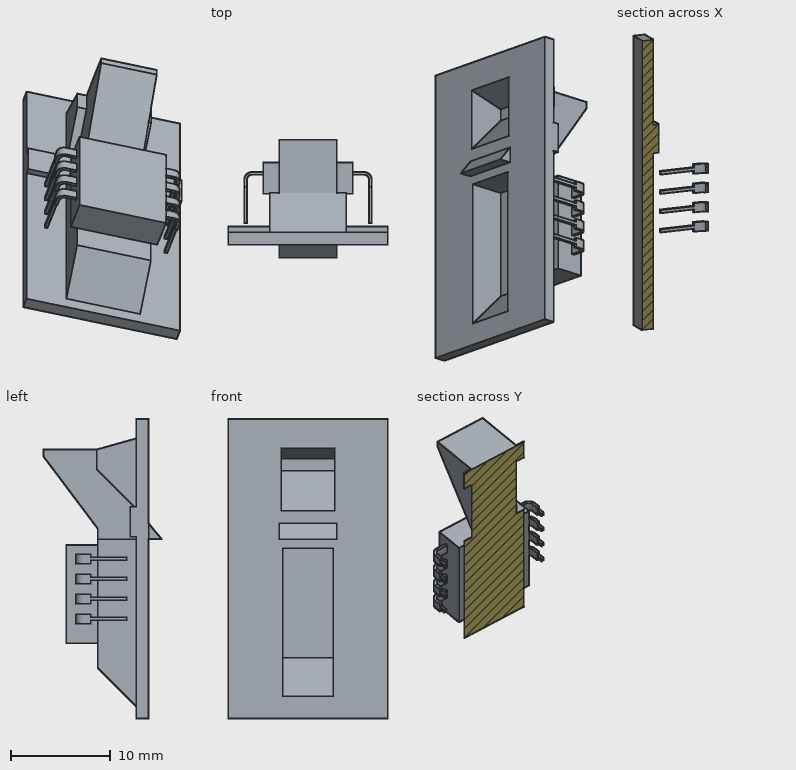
import cadquery as cq

PLATE_WIDTH = 16.0
PLATE_HEIGHT = 30.0
PLATE_THICKNESS = 1.23

BAND_BOTTOM = 18.18
BAND_TOP = 21.18
BAND_BACK = 1.83

BOX_WIDTH = 7.68

UPPER_RECESS_WIDTH = 5.4
UPPER_RECESS_DEPTH = 4.0
UPPER_RECESS_BOTTOM = 20.82
UPPER_RECESS_TOP = 27.05
ROOF_DROP = 1.05

UPPER_BOX_BACK = 5.2
UPPER_BOX_TOP = 26.95
UPPER_BOX_ROOF_AT_PLATE = 28.05
UPPER_BOX_FLOOR_AT_BACK = 24.95

LOWER_RECESS_WIDTH = 5.07
LOWER_RECESS_DEPTH = 3.85
LOWER_RECESS_BOTTOM = 2.25
LOWER_RECESS_TOP = 17.05

LOWER_BOX_BACK = 5.1
LOWER_BOX_TOP = 17.97
LOWER_BOX_BOTTOM_AT_PLATE = 1.2

SPINE_WIDTH = 5.8
ARM_BACK = 10.53
ARM_TIP_BOTTOM = 26.25
ARM_ROOT_TOP = 19.02
WEDGE_REACH = 1.32
WEDGE_HEIGHT = 1.6

CHIP_WIDTH = 9.0
CHIP_BOTTOM = 7.53
CHIP_HEIGHT = 9.87
CHIP_BACK = 8.25

LEAD_COUNT = 4
LEAD_ROW_LENGTH = 6.0
LEAD_PITCH = LEAD_ROW_LENGTH / (LEAD_COUNT - 1)
LOWEST_LEAD_Z = 10.0
LEAD_SPAN = 12.78
LEAD_THICKNESS = 0.3
LEAD_BACK = 7.3
LEAD_BEND_RADIUS = 0.78
LEAD_SHOULDER_HEIGHT = 0.95
LEAD_SHOULDER_FRONT = 5.8
LEAD_TIP_HEIGHT = 0.33
LEAD_TIP_FRONT = 2.15


def box_between(x_range, y_range, z_range):
    """Block filling the given ranges of x, y and z."""
    ranges = (x_range, y_range, z_range)
    sizes = [end - start for start, end in ranges]
    corner = tuple(start for start, end in ranges)
    return cq.Workplane("XY").box(*sizes, centered=False).translate(corner)


def centred_prism(side_points, width):
    """Side outline in (y, z), extruded along x and centred on x = 0."""
    return cq.Workplane("YZ").polyline(side_points).close().extrude(width / 2, both=True)


def centred_block(width, y_range, z_range):
    """Block centred on x = 0 that fills the given ranges of y and z."""
    return box_between((-width / 2, width / 2), y_range, z_range)


def make_upper_box():
    floor_rise = UPPER_BOX_BACK - PLATE_THICKNESS
    outline = [
        (PLATE_THICKNESS, UPPER_BOX_FLOOR_AT_BACK - floor_rise),
        (PLATE_THICKNESS, UPPER_BOX_ROOF_AT_PLATE),
        (UPPER_BOX_BACK, UPPER_BOX_TOP),
        (UPPER_BOX_BACK, UPPER_BOX_FLOOR_AT_BACK),
    ]
    return centred_prism(outline, BOX_WIDTH)


def make_upper_recess():
    outline = [
        (0, UPPER_RECESS_BOTTOM),
        (0, UPPER_RECESS_TOP),
        (UPPER_RECESS_DEPTH, UPPER_RECESS_TOP - ROOF_DROP),
        (UPPER_RECESS_DEPTH, UPPER_RECESS_BOTTOM + UPPER_RECESS_DEPTH),
    ]
    return centred_prism(outline, UPPER_RECESS_WIDTH)


def make_lower_box():
    floor_rise = LOWER_BOX_BACK - PLATE_THICKNESS
    outline = [
        (PLATE_THICKNESS, LOWER_BOX_BOTTOM_AT_PLATE),
        (PLATE_THICKNESS, LOWER_BOX_TOP),
        (LOWER_BOX_BACK, LOWER_BOX_TOP),
        (LOWER_BOX_BACK, LOWER_BOX_BOTTOM_AT_PLATE + floor_rise),
    ]
    return centred_prism(outline, BOX_WIDTH)


def make_lower_recess():
    outline = [
        (0, LOWER_RECESS_BOTTOM),
        (0, LOWER_RECESS_TOP),
        (LOWER_RECESS_DEPTH, LOWER_RECESS_TOP),
        (LOWER_RECESS_DEPTH, LOWER_RECESS_BOTTOM + LOWER_RECESS_DEPTH),
    ]
    return centred_prism(outline, LOWER_RECESS_WIDTH)


def make_spine():
    """Rear arm and front wedge as one prism that runs through the plate."""
    outline = [
        (-WEDGE_REACH, LOWER_BOX_TOP),
        (0, LOWER_BOX_TOP + WEDGE_HEIGHT),
        (PLATE_THICKNESS, UPPER_BOX_TOP),
        (ARM_BACK, UPPER_BOX_TOP),
        (ARM_BACK, ARM_TIP_BOTTOM),
        (LOWER_BOX_BACK, ARM_ROOT_TOP),
        (LOWER_BOX_BACK, LOWER_BOX_TOP),
    ]
    return centred_prism(outline, SPINE_WIDTH)


def make_housing():
    plate = centred_block(PLATE_WIDTH, (0, PLATE_THICKNESS), (0, PLATE_HEIGHT))
    band = centred_block(PLATE_WIDTH, (PLATE_THICKNESS, BAND_BACK), (BAND_BOTTOM, BAND_TOP))
    solid = plate.union(band).union(make_upper_box()).union(make_lower_box()).union(make_spine())
    return solid.cut(make_upper_recess()).cut(make_lower_recess())


def make_lead(z):
    """Left-hand lead, leaving the chip's side and bending towards the plate."""
    outer_x = -LEAD_SPAN / 2
    root_x = -CHIP_WIDTH / 2
    bottom = z - LEAD_SHOULDER_HEIGHT / 2
    bent_strip = (
        cq.Workplane("XY", origin=(0, 0, bottom))
        .moveTo(root_x, LEAD_BACK)
        .lineTo(outer_x + LEAD_BEND_RADIUS, LEAD_BACK)
        .radiusArc((outer_x, LEAD_BACK - LEAD_BEND_RADIUS), -LEAD_BEND_RADIUS)
        .lineTo(outer_x, LEAD_SHOULDER_FRONT)
        .lineTo(outer_x + LEAD_THICKNESS, LEAD_SHOULDER_FRONT)
        .lineTo(outer_x + LEAD_THICKNESS, LEAD_BACK - LEAD_BEND_RADIUS)
        .radiusArc(
            (outer_x + LEAD_BEND_RADIUS, LEAD_BACK - LEAD_THICKNESS),
            LEAD_BEND_RADIUS - LEAD_THICKNESS,
        )
        .lineTo(root_x, LEAD_BACK - LEAD_THICKNESS)
        .close()
        .extrude(LEAD_SHOULDER_HEIGHT)
    )
    tip = box_between(
        (outer_x, outer_x + LEAD_THICKNESS),
        (LEAD_TIP_FRONT, LEAD_SHOULDER_FRONT),
        (z - LEAD_TIP_HEIGHT / 2, z + LEAD_TIP_HEIGHT / 2),
    )
    return bent_strip.union(tip)


def make_chip():
    chip_top = CHIP_BOTTOM + CHIP_HEIGHT
    chip = centred_block(CHIP_WIDTH, (LOWER_BOX_BACK, CHIP_BACK), (CHIP_BOTTOM, chip_top))
    for index in range(LEAD_COUNT):
        left_lead = make_lead(LOWEST_LEAD_Z + index * LEAD_PITCH)
        right_lead = left_lead.mirror("YZ")
        chip = chip.union(left_lead).union(right_lead)
    return chip


housing = make_housing()
chip = make_chip()
result = cq.Compound.makeCompound([housing.val(), chip.val()])